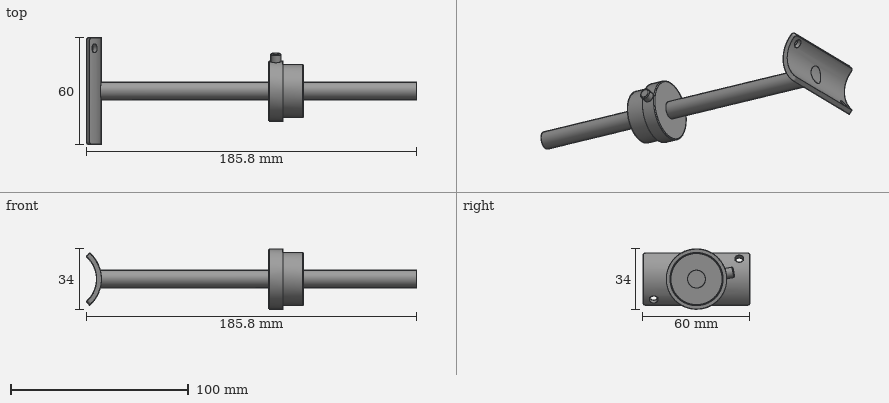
import cadquery as cq
import math

LENGTH = 185.8

saddle_width = 60.0
saddle_outer_radius = 19.7
saddle_thickness = 2.8
saddle_half_angle = 48.5
saddle_corner_radius = 1.7
saddle_hole_diameter = 4.8
saddle_hole_angle = 36.0
saddle_hole_edge_distance = 6.0
saddle_inner_radius = saddle_outer_radius - saddle_thickness
saddle_axis_x = -saddle_inner_radius * math.cos(math.radians(saddle_half_angle))

rod_diameter = 10.0

flange_start_x = 102.5
flange_diameter = 34.0
flange_length = 8.0
hub_diameter = 30.0
hub_length = 11.7
collar_chamfer = 0.5

screw_diameter = 6.0
screw_tip_radius = 21.4
screw_chamfer = 0.5
screw_tilt = 10.5
screw_x = flange_start_x + flange_length / 2


def x_cylinder(diameter, start_x, length):
    return cq.Workplane("YZ").workplane(offset=start_x).circle(diameter / 2).extrude(length)


def saddle_bore():
    """Cylinder that fills the hollow side of the saddle."""
    return (
        cq.Workplane("XZ")
        .center(saddle_axis_x, 0)
        .circle(saddle_inner_radius)
        .extrude(saddle_width / 2, both=True)
    )


def saddle_point(radius, angle):
    """Point (x, z) on a circle about the saddle axis, at an angle above +X."""
    turn = math.radians(angle)
    return (saddle_axis_x + radius * math.cos(turn), radius * math.sin(turn))


def saddle_hole(side):
    """Radial drill near one corner; side is +1 for +Y and +Z, -1 for the opposite corner."""
    turn = math.radians(side * saddle_hole_angle)
    hole_y = side * (saddle_width / 2 - saddle_hole_edge_distance)
    return cq.Workplane(
        cq.Solid.makeCylinder(
            saddle_hole_diameter / 2,
            2 * saddle_outer_radius,
            cq.Vector(saddle_axis_x, hole_y, 0),
            cq.Vector(math.cos(turn), 0, math.sin(turn)),
        )
    )


def make_rod():
    """Round rod whose near end follows the saddle's inner face."""
    return x_cylinder(rod_diameter, 0, LENGTH).cut(saddle_bore())


def make_saddle(rod):
    strip = (
        cq.Workplane("XZ")
        .moveTo(*saddle_point(saddle_outer_radius, -saddle_half_angle))
        .threePointArc(
            saddle_point(saddle_outer_radius, 0),
            saddle_point(saddle_outer_radius, saddle_half_angle),
        )
        .lineTo(*saddle_point(saddle_inner_radius, saddle_half_angle))
        .threePointArc(
            saddle_point(saddle_inner_radius, 0),
            saddle_point(saddle_inner_radius, -saddle_half_angle),
        )
        .close()
        .extrude(saddle_width / 2, both=True)
    )
    saddle = strip.edges("%LINE and (not |Y)").fillet(saddle_corner_radius)
    for side in (1, -1):
        saddle = saddle.cut(saddle_hole(side))
    return saddle.cut(rod)


def make_screw(rod):
    return (
        cq.Workplane("XZ")
        .center(screw_x, 0)
        .circle(screw_diameter / 2)
        .extrude(-screw_tip_radius)
        .faces(">Y")
        .chamfer(screw_chamfer)
        .rotate((0, 0, 0), (1, 0, 0), screw_tilt)
        .cut(rod)
    )


def make_collar(rod, screw):
    flange = x_cylinder(flange_diameter, flange_start_x, flange_length).faces("<X").chamfer(collar_chamfer)
    hub_start_x = flange_start_x + flange_length
    hub = x_cylinder(hub_diameter, hub_start_x, hub_length).faces(">X").chamfer(collar_chamfer)
    return flange.union(hub).cut(rod).cut(screw)


rod = make_rod()
saddle = make_saddle(rod)
screw = make_screw(rod)
collar = make_collar(rod, screw)

result = cq.Compound.makeCompound([saddle.val(), rod.val(), collar.val(), screw.val()])